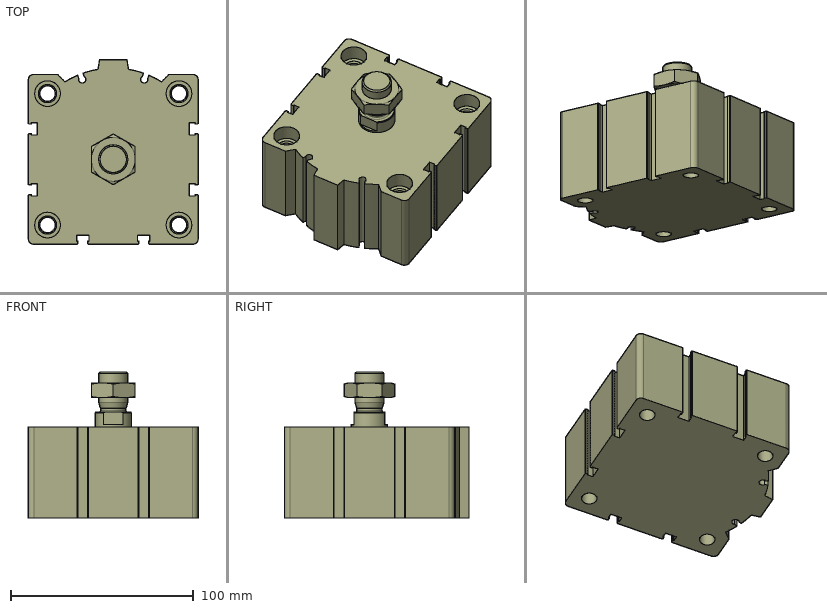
import cadquery as cq
import math

side = 93.0
half_side = side / 2
housing_height = 50.0
corner_radius = 3.0

crown_radius = 50.0
overall_depth = 101.0
nose_top_y = overall_depth - half_side
nose_top_half_width = 7.6
nose_root_half_width = 8.4
notch_half_width = 30.5

keyhole_radius = 1.9
keyhole_neck = 3.0
keyhole_x = 17.0
keyhole_y = 43.7

slot_offset = 16.7
slot_depth = 4.8
slot_lip = 1.7
slot_opening = 5.3
slot_inner_width = 6.6
slot_chamfer = 0.4

hole_offset = 36.0
hole_diameter = 8.4
countersink_diameter = 10.0
counterbore_diameter = 14.0
counterbore_depth = 9.0

rod_length = 30.0
collar_diameter = 20.0
collar_height = 8.0
collar_chamfer = 0.4
across_flats = 17.0
flats_start = 1.1
neck_diameter = 13.9
neck_fillet = 0.8
neck_top = 10.0
runout_diameter = 14.3
runout_start = 10.4
thread_diameter = 16.0
thread_start = 13.2
tip_chamfer = 0.8

nut_across_flats = 24.0
nut_height = 8.0
nut_base = 16.0
nut_chamfer_height = 0.6


def point_on_crown(x):
    return (x, math.sqrt(crown_radius**2 - x**2))


def housing_block():
    """Square prism with rounded corners and a crowned, nosed +Y face."""
    notch_line = half_side - notch_half_width
    notch_root_x = (math.sqrt(2 * crown_radius**2 - notch_line**2) - notch_line) / 2
    right_root = point_on_crown(notch_root_x)
    left_root = point_on_crown(-notch_root_x)
    flank_middle_x = (notch_root_x + nose_root_half_width) / 2

    outline = (
        cq.Workplane("XY")
        .moveTo(-half_side, -half_side)
        .lineTo(half_side, -half_side)
        .lineTo(half_side, half_side)
        .lineTo(notch_half_width, half_side)
        .lineTo(*right_root)
        .threePointArc(point_on_crown(flank_middle_x), point_on_crown(nose_root_half_width))
        .lineTo(nose_top_half_width, nose_top_y)
        .lineTo(-nose_top_half_width, nose_top_y)
        .lineTo(*point_on_crown(-nose_root_half_width))
        .threePointArc(point_on_crown(-flank_middle_x), left_root)
        .lineTo(-notch_half_width, half_side)
        .lineTo(-half_side, half_side)
        .close()
    )
    block = outline.extrude(housing_height)
    for x in (-half_side, half_side):
        for y in (-half_side, half_side):
            corner = cq.selectors.NearestToPointSelector((x, y, housing_height / 2))
            block = block.edges("|Z").edges(corner).fillet(corner_radius)
    return block


def t_slot():
    """Cutter for one T-slot in the -Y face, centred on X = 0."""
    half_opening = slot_opening / 2
    half_inner = slot_inner_width / 2
    half_mouth = half_opening + slot_chamfer
    right_side = [
        (half_mouth, -half_side),
        (half_opening, -half_side + slot_chamfer),
        (half_opening, -half_side + slot_lip),
        (half_inner, -half_side + slot_lip),
        (half_inner, -half_side + slot_depth),
    ]
    left_side = [(-x, y) for x, y in reversed(right_side)]
    return cq.Workplane("XY").polyline(right_side + left_side).close().extrude(housing_height)


def keyhole_groove():
    """Cutter for the +X keyhole groove, its neck pointing away from the rod axis."""
    bulb = cq.Workplane("XY").circle(keyhole_radius).extrude(housing_height)
    neck_length = crown_radius - math.hypot(keyhole_x, keyhole_y) + keyhole_radius
    neck = cq.Workplane("XY").box(
        keyhole_neck, neck_length, housing_height, centered=(True, False, False)
    )
    tilt = -math.degrees(math.atan2(keyhole_x, keyhole_y))
    return bulb.union(neck).rotate((0, 0, 0), (0, 0, 1), tilt).translate((keyhole_x, keyhole_y, 0))


def mounting_hole():
    """Cutter for one through hole with a flat counterbore and a countersunk mouth."""
    floor_z = housing_height - counterbore_depth
    hole_radius = hole_diameter / 2
    countersink_radius = countersink_diameter / 2
    countersink_depth = countersink_radius - hole_radius
    counterbore_radius = counterbore_diameter / 2
    profile = [
        (0, 0),
        (hole_radius, 0),
        (hole_radius, floor_z - countersink_depth),
        (countersink_radius, floor_z),
        (counterbore_radius, floor_z),
        (counterbore_radius, housing_height),
        (0, housing_height),
    ]
    return cq.Workplane("XZ").polyline(profile).close().revolve(360, (0, 0), (0, 1))


def make_housing():
    housing = housing_block()

    slot = t_slot()
    for face_angle in (-90, 0, 90):
        for offset in (-slot_offset, slot_offset):
            placed = slot.translate((offset, 0, 0)).rotate((0, 0, 0), (0, 0, 1), face_angle)
            housing = housing.cut(placed)

    groove = keyhole_groove()
    housing = housing.cut(groove).cut(groove.mirror("YZ"))

    hole = mounting_hole()
    for x in (-hole_offset, hole_offset):
        for y in (-hole_offset, hole_offset):
            housing = housing.cut(hole.translate((x, y, 0)))
    return housing


def make_rod():
    """Turned rod standing on the housing, with two wrench flats on its collar."""
    collar_radius = collar_diameter / 2
    neck_radius = neck_diameter / 2
    runout_radius = runout_diameter / 2
    thread_radius = thread_diameter / 2

    rod = (
        cq.Workplane("XZ")
        .moveTo(0, 0)
        .lineTo(collar_radius, 0)
        .lineTo(collar_radius, collar_height - collar_chamfer)
        .lineTo(collar_radius - collar_chamfer, collar_height)
        .lineTo(neck_radius + neck_fillet, collar_height)
        .tangentArcPoint((neck_radius, collar_height + neck_fillet), relative=False)
        .lineTo(neck_radius, neck_top)
        .lineTo(runout_radius, runout_start)
        .lineTo(thread_radius, thread_start)
        .lineTo(thread_radius, rod_length - tip_chamfer)
        .lineTo(thread_radius - tip_chamfer, rod_length)
        .lineTo(0, rod_length)
        .close()
        .revolve(360, (0, 0), (0, 1))
    )

    flat_cut_depth = collar_radius - across_flats / 2
    flat_cut = cq.Workplane("XY").box(
        collar_diameter, flat_cut_depth, collar_height - flats_start, centered=(True, False, False)
    ).translate((0, across_flats / 2, flats_start))
    rod = rod.cut(flat_cut).cut(flat_cut.mirror("XZ"))
    return rod.translate((0, 0, housing_height))


def make_nut():
    """Hexagon nut with corners on the Y axis and both ends bevelled."""
    corner_diameter = nut_across_flats / math.cos(math.pi / 6)
    corner_reach = corner_diameter / 2
    face_radius = nut_across_flats / 2
    hexagon = cq.Workplane("XY").polygon(6, corner_diameter).extrude(nut_height)
    hexagon = hexagon.rotate((0, 0, 0), (0, 0, 1), 90)
    bevel_profile = [
        (0, 0),
        (face_radius, 0),
        (corner_reach, nut_chamfer_height),
        (corner_reach, nut_height - nut_chamfer_height),
        (face_radius, nut_height),
        (0, nut_height),
    ]
    bevelled = cq.Workplane("XZ").polyline(bevel_profile).close().revolve(360, (0, 0), (0, 1))
    bore = cq.Workplane("XY").circle(thread_diameter / 2).extrude(nut_height)
    return hexagon.intersect(bevelled).cut(bore).translate((0, 0, housing_height + nut_base))


housing = make_housing()
rod = make_rod()
nut = make_nut()

result = cq.Compound.makeCompound([housing.val(), rod.val(), nut.val()])